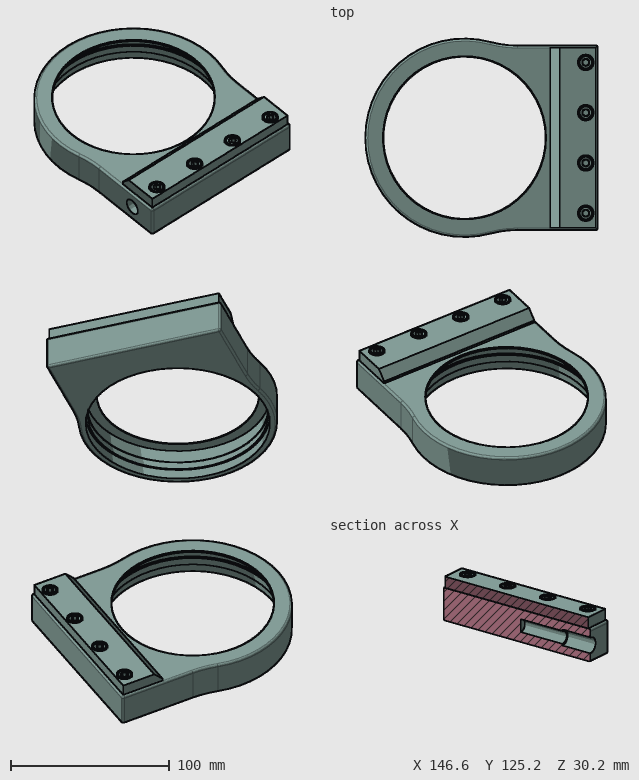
import cadquery as cq
import math

RING_RADIUS = 62.6
LENGTH = 146.6
HALF_WIDTH = 58.2
HOUSING_HEIGHT = 22.6
BLEND_RADIUS = 64.5
EDGE_FILLET = 1.5

BORE_RADIUS = 58.0
LIP_RADIUS = 51.0
LIP_THICKNESS = 1.0
LIP_CHAMFER = 0.5

RETAINER_INNER_RADIUS = 56.9
RETAINER_TOP = 12.3
RETAINER_BOTTOM = 6.6
RETAINER_CHAMFER = 0.6

SIDE_HOLE_X = 65.1
SIDE_ENTRY_DIAMETER = 10.5
SIDE_ENTRY_DEPTH = 22.0
SIDE_END_DIAMETER = 8.4
SIDE_HOLE_DEPTH = 44.0

BAR_HEIGHT = 7.6
BAR_LENGTH_X = 28.5
BAR_CHAMFER = 6.0

SCREW_COUNT = 4
SCREW_SPACING = 31.7
SCREW_END_DISTANCE = 7.6
HEAD_DIAMETER = 8.5
HEAD_HEIGHT = 5.0
HEAD_CHAMFER = 0.5
COUNTERBORE_DIAMETER = 10.0
SHANK_DIAMETER = 5.0
SHANK_LENGTH = 14.7
SOCKET_ACROSS_FLATS = 4.0
SOCKET_DEPTH = 3.7

end_x = LENGTH - RING_RADIUS
bar_end_x = end_x - EDGE_FILLET
bar_start_x = bar_end_x - BAR_LENGTH_X
bar_half_width = HALF_WIDTH - EDGE_FILLET
bar_top_z = HOUSING_HEIGHT + BAR_HEIGHT
screw_x = end_x - SCREW_END_DISTANCE
head_seat_z = bar_top_z - HEAD_HEIGHT
screw_places = [
    (screw_x, (i - (SCREW_COUNT - 1) / 2) * SCREW_SPACING) for i in range(SCREW_COUNT)
]


def housing_outline():
    """Ring outline, carried by concave arcs into the straight sides of the clamping end."""
    center_distance = RING_RADIUS + BLEND_RADIUS
    center_y = HALF_WIDTH + BLEND_RADIUS
    center_x = math.sqrt(center_distance**2 - center_y**2)
    ring_share = RING_RADIUS / center_distance
    tangent_x = center_x * ring_share
    tangent_y = center_y * ring_share
    start_angle = math.atan2(-center_y, -center_x)
    middle_angle = (start_angle - math.pi / 2) / 2
    middle_x = center_x + BLEND_RADIUS * math.cos(middle_angle)
    middle_y = center_y + BLEND_RADIUS * math.sin(middle_angle)
    return (
        cq.Workplane("XY")
        .moveTo(tangent_x, tangent_y)
        .threePointArc((-RING_RADIUS, 0), (tangent_x, -tangent_y))
        .threePointArc((middle_x, -middle_y), (center_x, -HALF_WIDTH))
        .lineTo(end_x, -HALF_WIDTH)
        .lineTo(end_x, HALF_WIDTH)
        .lineTo(center_x, HALF_WIDTH)
        .threePointArc((middle_x, middle_y), (tangent_x, tangent_y))
        .close()
    )


def cylinder(diameter, bottom_z, height, places):
    """Upright cylinders of one size at the given places."""
    return (
        cq.Workplane("XY", origin=(0, 0, bottom_z)).pushPoints(places).circle(diameter / 2).extrude(height)
    )


def screw_envelope(head_diameter, places):
    """Shank and head space of the cap screws, also used to cut their holes."""
    shank = cylinder(SHANK_DIAMETER, head_seat_z - SHANK_LENGTH, SHANK_LENGTH, places)
    head = cylinder(head_diameter, head_seat_z, HEAD_HEIGHT, places)
    return shank.union(head)


def make_bore():
    """Space inside the ring: the bore, the lip opening and the chamfer of its upper edge."""
    lip_bottom_z = HOUSING_HEIGHT - LIP_THICKNESS
    chamfer_bottom_z = HOUSING_HEIGHT - LIP_CHAMFER
    return (
        cq.Workplane("XZ")
        .moveTo(0, 0)
        .lineTo(BORE_RADIUS, 0)
        .lineTo(BORE_RADIUS, lip_bottom_z)
        .lineTo(LIP_RADIUS, lip_bottom_z)
        .lineTo(LIP_RADIUS, chamfer_bottom_z)
        .lineTo(LIP_RADIUS + LIP_CHAMFER, HOUSING_HEIGHT)
        .lineTo(0, HOUSING_HEIGHT)
        .close()
        .revolve(360, (0, 0), (0, 1))
    )


def make_side_hole():
    """Blind hole along Y: a wide entry that steps down to a narrower end."""
    return (
        cq.Workplane("XZ", origin=(SIDE_HOLE_X, -HALF_WIDTH, HOUSING_HEIGHT / 2))
        .circle(SIDE_ENTRY_DIAMETER / 2)
        .extrude(-SIDE_ENTRY_DEPTH)
        .circle(SIDE_END_DIAMETER / 2)
        .extrude(-SIDE_HOLE_DEPTH)
    )


def make_housing():
    body = housing_outline().extrude(HOUSING_HEIGHT)
    body = body.edges(">X and |Z").fillet(EDGE_FILLET)
    body = body.faces("<Z or >Z").edges().fillet(EDGE_FILLET)
    body = body.cut(make_bore())
    body = body.cut(make_side_hole())
    return body.cut(screw_envelope(COUNTERBORE_DIAMETER, screw_places))


def make_retainer():
    """Plain ring in the bore, chamfered on its upper inner edge."""
    ring = (
        cq.Workplane("XY", origin=(0, 0, RETAINER_BOTTOM))
        .circle(BORE_RADIUS)
        .circle(RETAINER_INNER_RADIUS)
        .extrude(RETAINER_TOP - RETAINER_BOTTOM)
    )
    inner_edge = cq.selectors.RadiusNthSelector(0)
    return ring.faces(">Z").edges(inner_edge).chamfer(RETAINER_CHAMFER)


def make_bar():
    """Bar along Y with a chamfer facing the bore and counterbored screw holes."""
    bar = (
        cq.Workplane("XZ", origin=(0, bar_half_width, 0))
        .moveTo(bar_start_x, HOUSING_HEIGHT)
        .lineTo(bar_end_x, HOUSING_HEIGHT)
        .lineTo(bar_end_x, bar_top_z)
        .lineTo(bar_start_x + BAR_CHAMFER, bar_top_z)
        .lineTo(bar_start_x, bar_top_z - BAR_CHAMFER)
        .close()
        .extrude(2 * bar_half_width)
    )
    return bar.cut(screw_envelope(COUNTERBORE_DIAMETER, screw_places))


def make_screw(place):
    """Cap screw with a chamfered head and a countersunk hexagonal socket."""
    screw = screw_envelope(HEAD_DIAMETER, [place])
    screw = screw.faces(">Z").edges().chamfer(HEAD_CHAMFER)
    socket = (
        cq.Workplane("XY", origin=(0, 0, bar_top_z))
        .center(*place)
        .polygon(6, SOCKET_ACROSS_FLATS, circumscribed=True)
        .extrude(-SOCKET_DEPTH)
    )
    corner_radius = SOCKET_ACROSS_FLATS / math.sqrt(3)
    countersink = cq.Workplane(
        cq.Solid.makeCone(
            corner_radius,
            SOCKET_ACROSS_FLATS / 2,
            corner_radius - SOCKET_ACROSS_FLATS / 2,
            pnt=cq.Vector(*place, bar_top_z),
            dir=cq.Vector(0, 0, -1),
        )
    )
    return screw.cut(socket).cut(countersink)


housing = make_housing()
retainer = make_retainer()
bar = make_bar()
screws = [make_screw(place).val() for place in screw_places]

result = cq.Compound.makeCompound([housing.val(), retainer.val(), bar.val(), *screws])